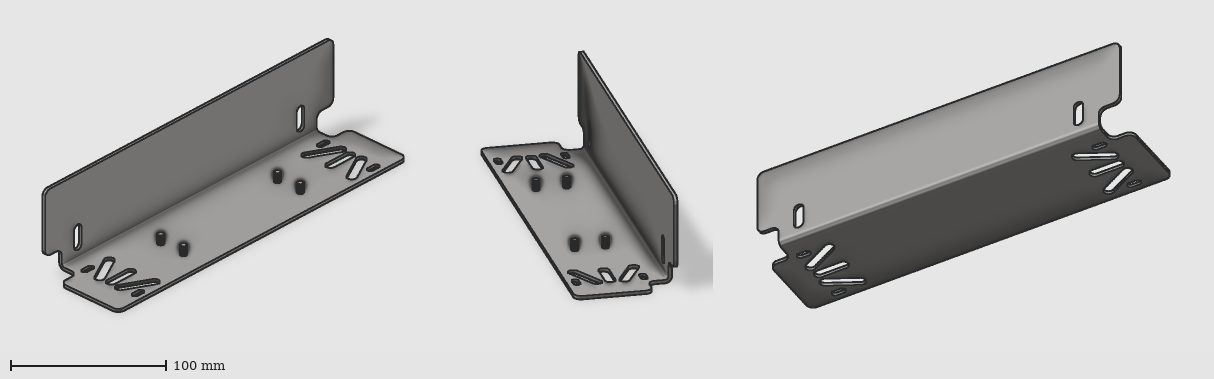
import cadquery as cq
import math

width = 67.8
length = 270.0
height = 65.0
thickness = 2.5
bend_radius = 2 * thickness
corner_radius = 2 * thickness
bend_zone = bend_radius + thickness

notch_length = 15.7
floor_notch_depth = 16.2
wall_notch_height = 15.7

fan_x = 39.2
fan_y = 102.5
fan_slot_width = 7.0
straight_slot_length = 25.0
slanted_slot_length = 30.2
slanted_slot_offset = 14.5
slant_angle = 28
small_slot_spacing = 44.5
small_slot_y = 110.2
small_slot_width = 4.5
small_slot_length = 10.0

wall_slot_width = 7.0
wall_slot_length = 19.0
wall_slot_end_distance = 30.8
wall_slot_y = length / 2 - wall_slot_end_distance
wall_slot_z = 17.8

stud_x_spacing = 20.2
stud_y_spacing = 109.4
stud_height = 7.5
stud_radius = 2.5
thread_pitch = 0.8
thread_depth = thread_pitch * math.cos(math.radians(30)) * 5 / 8
thread_count = math.floor(stud_height / thread_pitch)


def leg_outline(workplane, reach, notch_depth):
    """Flat leg outline: a neck at the bend that widens beyond the notches."""
    half = length / 2
    neck = half - notch_length
    return workplane.polyline([
        (bend_radius, -neck),
        (notch_depth, -neck),
        (notch_depth, -half),
        (reach, -half),
        (reach, half),
        (notch_depth, half),
        (notch_depth, neck),
        (bend_radius, neck),
    ]).close()


def make_leg(plane, reach, notch_depth):
    """Extrude a leg inward from its outer face and round every corner except those on the bend line."""
    leg = leg_outline(cq.Workplane(plane), reach, notch_depth).extrude(thickness)
    across_sheet = cq.selectors.ParallelDirSelector(plane.zDir)
    at_bend = cq.selectors.BoxSelector((0, -length, 0), (bend_zone, length, bend_zone))
    return leg.edges(across_sheet - at_bend).fillet(corner_radius)


def make_bend():
    """Quarter-round strip joining the floor and the wall."""
    neck_length = length - 2 * notch_length
    inner_radius = bend_radius - thickness
    ring = (
        cq.Workplane("XZ")
        .center(bend_radius, bend_radius)
        .circle(bend_radius)
        .circle(inner_radius)
        .extrude(neck_length / 2, both=True)
    )
    quadrant = cq.Workplane("XY").box(bend_radius, length, bend_radius, centered=(False, True, False))
    return ring.intersect(quadrant)


def floor_slot(x, y, slot_length, slot_width, angle):
    """Cutter for a round-ended slot through the floor; the angle is measured from +X."""
    return cq.Workplane("XY").center(x, y).slot2D(slot_length, slot_width, angle).extrude(thickness)


def cut_slot_fan(body, end):
    """Cut one fan of slots; end is +1 or -1 for the +Y or -Y end."""
    body = body.cut(floor_slot(fan_x, end * fan_y, straight_slot_length, fan_slot_width, 90))
    for side in (-1, 1):
        slanted_x = fan_x + side * slanted_slot_offset
        angle = 90 + side * end * slant_angle
        body = body.cut(floor_slot(slanted_x, end * fan_y, slanted_slot_length, fan_slot_width, angle))
        small_x = fan_x + side * small_slot_spacing / 2
        body = body.cut(floor_slot(small_x, end * small_slot_y, small_slot_length, small_slot_width, 90))
    return body


def cut_wall_slot(body, end):
    """Cut one upright slot through the wall."""
    slot = (
        cq.Workplane("YZ")
        .center(end * wall_slot_y, wall_slot_z)
        .slot2D(wall_slot_length, wall_slot_width, 90)
        .extrude(thickness)
    )
    return body.cut(slot)


def make_stud():
    """Stud on the Z axis: V-shaped ring threads down from the tip, root sunk into the floor."""
    root_radius = stud_radius - thread_depth
    top = thickness + stud_height
    profile = [(0, thickness / 2), (0, top), (root_radius, top)]
    for i in range(thread_count):
        groove_z = top - i * thread_pitch
        profile.append((stud_radius, groove_z - thread_pitch / 2))
        profile.append((root_radius, groove_z - thread_pitch))
    profile.append((root_radius, thickness / 2))
    return cq.Workplane("XZ").polyline(profile).close().revolve(360, (0, 0, 0), (0, 1, 0))


floor_plane = cq.Plane(origin=(0, 0, 0), xDir=(1, 0, 0), normal=(0, 0, 1))
wall_plane = cq.Plane(origin=(0, 0, 0), xDir=(0, 0, 1), normal=(1, 0, 0))
floor = make_leg(floor_plane, width, floor_notch_depth)
wall = make_leg(wall_plane, height, wall_notch_height)
result = floor.union(make_bend()).union(wall)

for end in (-1, 1):
    result = cut_slot_fan(result, end)
    result = cut_wall_slot(result, end)

stud = make_stud()
for x_side in (-1, 1):
    for y_side in (-1, 1):
        stud_position = (fan_x + x_side * stud_x_spacing / 2, y_side * stud_y_spacing / 2, 0)
        result = result.union(stud.translate(stud_position))